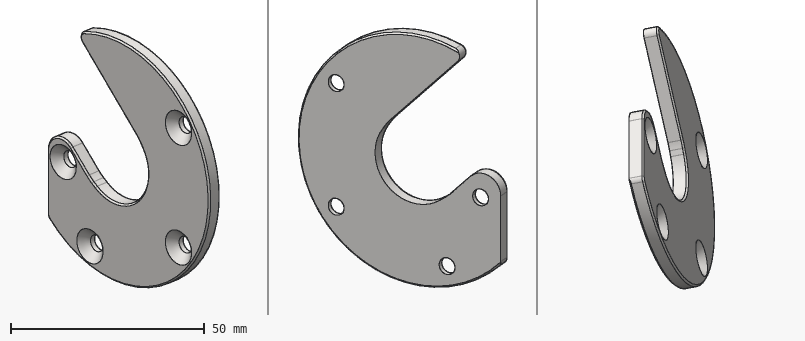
import cadquery as cq
import math

thickness = 4.0
outer_radius = 34.75
throat_radius = 12.0
mouth_half_width = 12.3
taper_angle = math.radians(10.5)
mouth_blend_radius = 11.8
flat_x = -24.7
lower_tip_radius = 5.3
upper_tip_radius = 2.0
corner_radius = 2.0
edge_chamfer = 0.5
hole_radius = 2.3
sink_radius = 4.8
sink_depth = sink_radius - hole_radius
hole_x = 23.4
hole_z = 17.1
hole_centers = [
    (hole_x, hole_z),
    (hole_x, -hole_z),
    (-9.0, -27.65),
    (-18.8, -6.9),
]

mouth_length = 2 * outer_radius
diagonal = math.sqrt(0.5)


def from_mouth_axis(along, across):
    """Local XZ point from distances along the mouth axis (up-left) and across it (up-right)."""
    return ((across - along) * diagonal, (across + along) * diagonal)


def make_mouth():
    """Mouth and round throat: parallel walls, blended into walls that taper to the throat arc."""
    taper_end_along = -throat_radius * math.sin(taper_angle)
    taper_end_across = throat_radius * math.cos(taper_angle)
    bend_along = taper_end_along + (mouth_half_width - taper_end_across) / math.tan(taper_angle)
    blend_reach = mouth_blend_radius * math.tan(taper_angle / 2)
    blend_end_along = bend_along - blend_reach * math.cos(taper_angle)
    blend_end_across = mouth_half_width - blend_reach * math.sin(taper_angle)
    wall_end_along = bend_along + blend_reach
    return (
        cq.Workplane("XZ")
        .moveTo(*from_mouth_axis(mouth_length, mouth_half_width))
        .lineTo(*from_mouth_axis(wall_end_along, mouth_half_width))
        .tangentArcPoint(from_mouth_axis(blend_end_along, blend_end_across), relative=False)
        .lineTo(*from_mouth_axis(taper_end_along, taper_end_across))
        .tangentArcPoint(from_mouth_axis(taper_end_along, -taper_end_across), relative=False)
        .lineTo(*from_mouth_axis(blend_end_along, -blend_end_across))
        .tangentArcPoint(from_mouth_axis(wall_end_along, -mouth_half_width), relative=False)
        .lineTo(*from_mouth_axis(mouth_length, -mouth_half_width))
        .close()
        .extrude(-thickness)
    )


def make_disc():
    return cq.Workplane("XZ").circle(outer_radius).extrude(-thickness)


def make_plate():
    """Hook outline extruded from the front face (y = 0) back to y = thickness."""
    kept_side = (
        cq.Workplane("XY")
        .box(2 * outer_radius, thickness, 2 * outer_radius, centered=(False, False, True))
        .translate((flat_x, 0, 0))
    )
    return make_disc().intersect(kept_side).cut(make_mouth())


def edge_near(x, z):
    """Selector for the outline corner edge closest to (x, z)."""
    return cq.selectors.NearestToPointSelector((x, thickness / 2, z))


def round_corners(plate):
    """Round the two arm tips and the corner between the left side and the rim."""
    rim_along = math.sqrt(outer_radius**2 - mouth_half_width**2)
    upper_x, upper_z = from_mouth_axis(rim_along, mouth_half_width)
    lower_tip_z = -mouth_half_width / diagonal - flat_x
    corner_z = -math.sqrt(outer_radius**2 - flat_x**2)
    corners = [
        (upper_x, upper_z, upper_tip_radius),
        (flat_x, lower_tip_z, lower_tip_radius),
        (flat_x, corner_z, corner_radius),
    ]
    for x, z, radius in corners:
        plate = plate.edges("|Y").edges(edge_near(x, z)).fillet(radius)
    return plate


def countersunk_hole(x, z):
    """Cutter for one hole, countersunk from the front face."""
    profile = [
        (0, 0),
        (sink_radius, 0),
        (hole_radius, sink_depth),
        (hole_radius, thickness),
        (0, thickness),
    ]
    cutter = cq.Workplane("XY").polyline(profile).close().revolve(360, (0, 0), (0, 1))
    return cutter.translate((x, 0, z))


result = round_corners(make_plate()).faces("<Y").chamfer(edge_chamfer)
result = result.intersect(make_disc().faces(">Y").chamfer(edge_chamfer))
for x, z in hole_centers:
    result = result.cut(countersunk_hole(x, z))